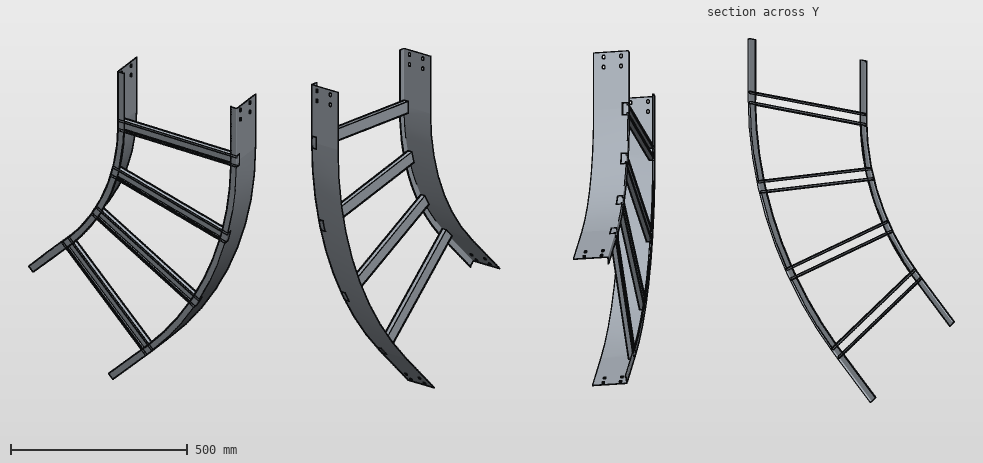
import cadquery as cq
import math

overall_height = 1002.0
bend_angle = 45.0
outer_radius = 1000.0
ladder_width = 400.0
inner_radius = outer_radius - ladder_width

bend = math.radians(bend_angle)
tail_length = (overall_height - outer_radius * math.sin(bend)) / (1 + math.cos(bend))

sheet = 1.8
rail_depth = 100.0
flange_width = 22.0
lip_height = 3.5
fold_radius = 2.5

rung_count = 4
rung_width = 37.0
rung_depth = 16.0
rung_lip = 7.0
rung_weld_overlap = sheet / 2

slot_length = 11.0
slot_width = 7.0
slot_end_distances = (14.0, 44.0)
slot_depths = (21.0, 71.0)


def rail_profile(web_face, inward):
    """Rail section; web_face is the outside radius, inward (+1 or -1) is the flange side."""

    def at(across, depth):
        return (web_face + inward * across, depth)

    return (
        cq.Workplane("XY")
        .moveTo(*at(0, rail_depth))
        .lineTo(*at(0, fold_radius))
        .tangentArcPoint(at(fold_radius, 0), relative=False)
        .lineTo(*at(flange_width - fold_radius, 0))
        .tangentArcPoint(at(flange_width, fold_radius), relative=False)
        .lineTo(*at(flange_width, lip_height))
        .lineTo(*at(flange_width - sheet, lip_height))
        .lineTo(*at(flange_width - sheet, fold_radius))
        .tangentArcPoint(at(flange_width - fold_radius, sheet), relative=False)
        .lineTo(*at(fold_radius, sheet))
        .tangentArcPoint(at(sheet, fold_radius), relative=False)
        .lineTo(*at(sheet, rail_depth))
        .close()
    )


def turn(body, angle):
    """Turn a body about the bend axis."""
    return body.rotate((0, 0, 0), (0, 1, 0), angle)


def tail(web_face, inward):
    """Straight rail end rising from the bend, with its joint slots."""
    slot_centres = [
        (depth, tail_length - distance)
        for depth in slot_depths
        for distance in slot_end_distances
    ]
    slots = (
        cq.Workplane("YZ", origin=(web_face, 0, 0))
        .pushPoints(slot_centres)
        .slot2D(slot_length, slot_width, angle=90)
        .extrude(2 * sheet, both=True)
    )
    return rail_profile(web_face, inward).extrude(tail_length).cut(slots)


def rail(web_face, inward):
    """Curved rail with a straight tail at each end."""
    curve = rail_profile(web_face, inward).revolve(bend_angle, (0, 0, 0), (0, 1, 0))
    upper_tail = tail(web_face, inward)
    lower_tail = turn(upper_tail.mirror("XY"), bend_angle)
    return curve.union(upper_tail).union(lower_tail)


def rung():
    """Lipped channel spanning the two webs at the start of the bend."""
    start = inner_radius + sheet - rung_weld_overlap
    length = ladder_width - 2 * (sheet - rung_weld_overlap)
    front = sheet
    back = front + rung_depth
    middle = (front + back) / 2
    mouth = rung_width - 2 * rung_lip

    def bar(depth_centre, depth, width):
        return (
            cq.Workplane("YZ", origin=(start, depth_centre, 0))
            .rect(depth, width)
            .extrude(length)
        )

    body = bar(middle, rung_depth, rung_width)
    hollow = bar(middle, rung_depth - 2 * sheet, rung_width - 2 * sheet)
    opening = bar(front + sheet / 2, sheet, mouth)
    return body.cut(hollow).cut(opening)


result = rail(inner_radius, 1).union(rail(outer_radius, -1))
for index in range(rung_count):
    result = result.union(turn(rung(), index * bend_angle / (rung_count - 1)))